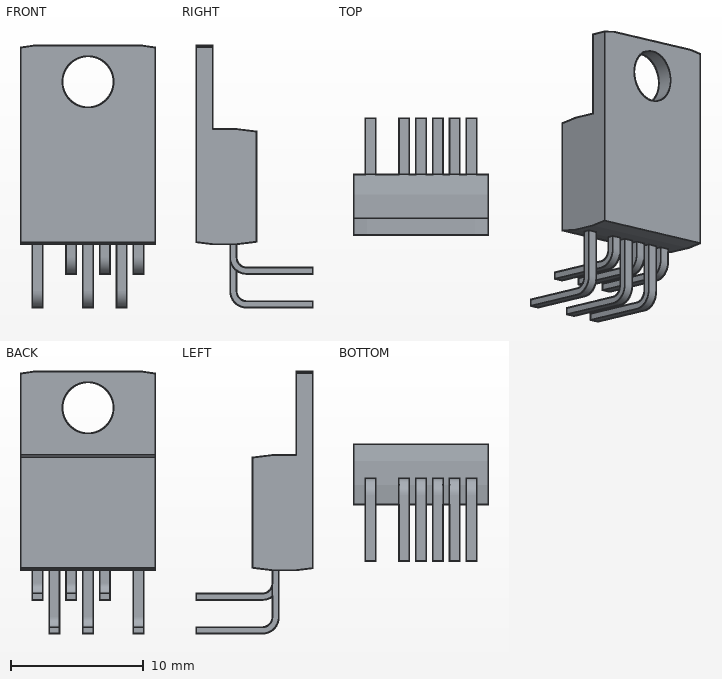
import cadquery as cq
import math

package_width = 10.16
package_height = 15.0
package_depth = 4.57
tab_thickness = 1.27
block_height = 8.7

draft_angle = math.radians(7)
back_draft_depth = 1.5
back_draft_start = package_depth - back_draft_depth
back_draft_rise = back_draft_depth * math.tan(draft_angle)
front_draft_rise = tab_thickness * math.tan(draft_angle)

corner_bevel_width = 1.0
corner_bevel_drop = 0.15

hole_diameter = 3.84
hole_from_top = 2.74

lead_pitch = 1.27
lead_positions = 7
empty_position = 1
lead_width = 0.8
lead_thickness = 0.5
lead_front = back_draft_start - lead_thickness
lead_tip = 8.82
bend_inner_radius = 0.75
bend_outer_radius = bend_inner_radius + lead_thickness
long_lead_drop = 4.78
row_spacing = 2.54
short_lead_drop = long_lead_drop - row_spacing


def make_package():
    """Extrude the stepped side profile, bevel the tab corners and drill the hole."""
    body = (
        cq.Workplane("YZ")
        .moveTo(0, front_draft_rise)
        .lineTo(tab_thickness, 0)
        .lineTo(back_draft_start, 0)
        .lineTo(package_depth, back_draft_rise)
        .lineTo(package_depth, block_height - back_draft_rise)
        .lineTo(back_draft_start, block_height)
        .lineTo(tab_thickness, block_height)
        .lineTo(tab_thickness, package_height)
        .lineTo(0, package_height)
        .close()
        .extrude(package_width / 2, both=True)
    )

    for side in (-1, 1):
        edge_x = side * package_width / 2
        corner = (
            cq.Workplane("XZ")
            .moveTo(edge_x, package_height)
            .lineTo(edge_x - side * corner_bevel_width, package_height)
            .lineTo(edge_x, package_height - corner_bevel_drop)
            .close()
            .extrude(-tab_thickness)
        )
        body = body.cut(corner)

    hole = (
        cq.Workplane("XZ")
        .center(0, package_height - hole_from_top)
        .circle(hole_diameter / 2)
        .extrude(-tab_thickness)
    )
    return body.cut(hole)


def make_lead(x, drop):
    """Lead that hangs from the underside, then bends back to a horizontal tip."""
    lead_back = lead_front + lead_thickness
    bend_y = lead_front + bend_outer_radius
    bend_z = bend_outer_radius - drop
    diagonal = math.sqrt(0.5)
    outer_mid = (bend_y - bend_outer_radius * diagonal, bend_z - bend_outer_radius * diagonal)
    inner_mid = (bend_y - bend_inner_radius * diagonal, bend_z - bend_inner_radius * diagonal)
    return (
        cq.Workplane("YZ", origin=(x, 0, 0))
        .moveTo(lead_front, 0)
        .lineTo(lead_front, bend_z)
        .threePointArc(outer_mid, (bend_y, -drop))
        .lineTo(lead_tip, -drop)
        .lineTo(lead_tip, lead_thickness - drop)
        .lineTo(bend_y, lead_thickness - drop)
        .threePointArc(inner_mid, (lead_back, bend_z))
        .lineTo(lead_back, 0)
        .close()
        .extrude(lead_width / 2, both=True)
    )


package = make_package()

fitted_positions = [position for position in range(lead_positions) if position != empty_position]
leads = []
for index, position in enumerate(fitted_positions):
    lead_x = (position - (lead_positions - 1) / 2) * lead_pitch
    lead_drop = short_lead_drop if index % 2 else long_lead_drop
    leads.append(make_lead(lead_x, lead_drop).val())

result = cq.Compound.makeCompound([package.val(), *leads])